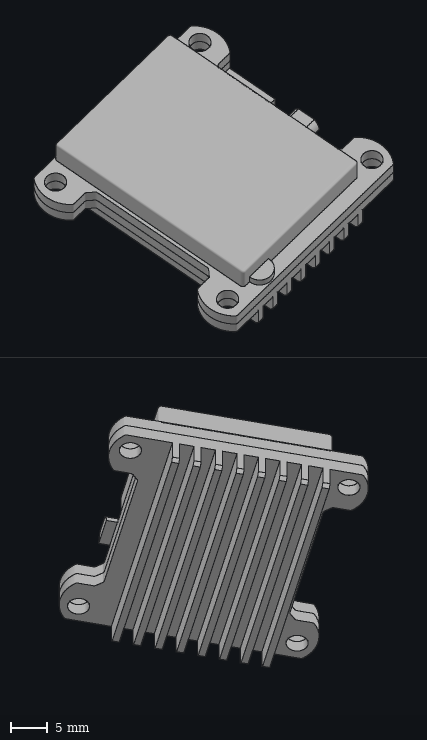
import cadquery as cq
import math

plate_side = 36.0
waist_depth = 25.92
lug_width = 7.02
lug_radius = 5.0
waist_chamfer = 1.05
plate_corner_radius = 0.5
hole_spacing = 30.5
hole_diameter = 3.0

fin_height = 3.28
base_thickness = 1.85
board_thickness = 1.87
cover_height = 3.53

fin_count = 8
fin_thickness = 1.0
fin_row_span = 21.0
fin_center_y = -0.97
fin_chamfer = 0.5

cover_length = 33.5
cover_depth = 24.37
cover_left_x = -17.85
cover_front_y = -12.42
cover_fillet = 0.5

header_length = 8.1
header_height = 2.9
header_left_x = -8.05
socket_width = 4.55
socket_height = 1.6
socket_center_x = 4.3
socket_back_y = 14.5
socket_top_width = 2.8
socket_side_radius = 1.98
button_diameter = 4.0
button_height = 1.15
button_center_x = 15.75
button_center_y = -9.1

base_bottom_z = fin_height
board_bottom_z = base_bottom_z + base_thickness
board_top_z = board_bottom_z + board_thickness
plate_half = plate_side / 2
waist_half = waist_depth / 2
cover_back_y = cover_front_y + cover_depth


def block(x_min, y_min, z_min, length, depth, height):
    """Box given by its lowest corner and its sizes."""
    return cq.Workplane("XY").box(length, depth, height, centered=False).translate((x_min, y_min, z_min))


def lug_plate(bottom_z, thickness):
    """Waisted plate with four round-ended lugs, each with a mounting hole."""
    lug_inner_x = plate_half - lug_width
    lug_center_x = plate_half - lug_width / 2
    arc_center_y = plate_half - lug_radius
    arc_end_y = arc_center_y + math.sqrt(lug_radius**2 - (lug_width / 2) ** 2)
    quarter = (
        cq.Workplane("XY")
        .workplane(offset=bottom_z)
        .lineTo(plate_half, 0)
        .lineTo(plate_half, arc_end_y)
        .threePointArc((lug_center_x, plate_half), (lug_inner_x, arc_end_y))
        .lineTo(lug_inner_x, waist_half + waist_chamfer)
        .lineTo(lug_inner_x - waist_chamfer, waist_half)
        .lineTo(0, waist_half)
        .close()
        .extrude(thickness)
    )
    half = quarter.union(quarter.mirror("YZ"))
    plate = half.union(half.mirror("XZ")).clean()
    plate = plate.edges("|Z").fillet(plate_corner_radius)
    holes = (
        cq.Workplane("XY")
        .workplane(offset=bottom_z)
        .rect(hole_spacing, hole_spacing, forConstruction=True)
        .vertices()
        .circle(hole_diameter / 2)
        .extrude(thickness)
    )
    return plate.cut(holes)


def make_heat_sink():
    """Base plate with a row of fins along X, their lower end corners chamfered."""
    heat_sink = lug_plate(base_bottom_z, base_thickness)
    fin_pitch = fin_row_span / (fin_count - 1)
    for index in range(fin_count):
        center_y = fin_center_y + (index - (fin_count - 1) / 2) * fin_pitch
        fin = block(-plate_half, center_y - fin_thickness / 2, 0, plate_side, fin_thickness, fin_height)
        heat_sink = heat_sink.union(fin.edges("|Y and <Z").chamfer(fin_chamfer))
    return heat_sink


def make_cover():
    """Solid cover with rounded upright corners and a rounded top rim."""
    cover = block(cover_left_x, cover_front_y, board_top_z, cover_length, cover_depth, cover_height)
    return cover.edges("|Z or >Z").fillet(cover_fillet)


def make_header():
    """Tall block between the back of the cover and the back edge of the board."""
    depth = waist_half - cover_back_y
    return block(header_left_x, cover_back_y, board_top_z, header_length, depth, header_height)


def make_socket():
    """Socket with bulging sides that lean in to a narrower top, overhanging the board edge."""
    half_width = socket_width / 2
    half_top = socket_top_width / 2
    return (
        cq.Workplane("XZ", origin=(socket_center_x, cover_back_y, board_top_z))
        .moveTo(-half_width, 0)
        .lineTo(half_width, 0)
        .radiusArc((half_top, socket_height), -socket_side_radius)
        .lineTo(-half_top, socket_height)
        .radiusArc((-half_width, 0), -socket_side_radius)
        .close()
        .extrude(cover_back_y - socket_back_y)
    )


def make_button():
    """Disc standing on the board, cut flat where it meets the cover."""
    disc = (
        cq.Workplane("XY", origin=(button_center_x, button_center_y, board_top_z))
        .circle(button_diameter / 2)
        .extrude(button_height)
    )
    return disc.cut(make_cover())


heat_sink = make_heat_sink()
board = lug_plate(board_bottom_z, board_thickness)
cover = make_cover()
header = make_header()
socket = make_socket()
button = make_button()

result = cq.Compound.makeCompound(
    [heat_sink.val(), board.val(), cover.val(), header.val(), socket.val(), button.val()]
)